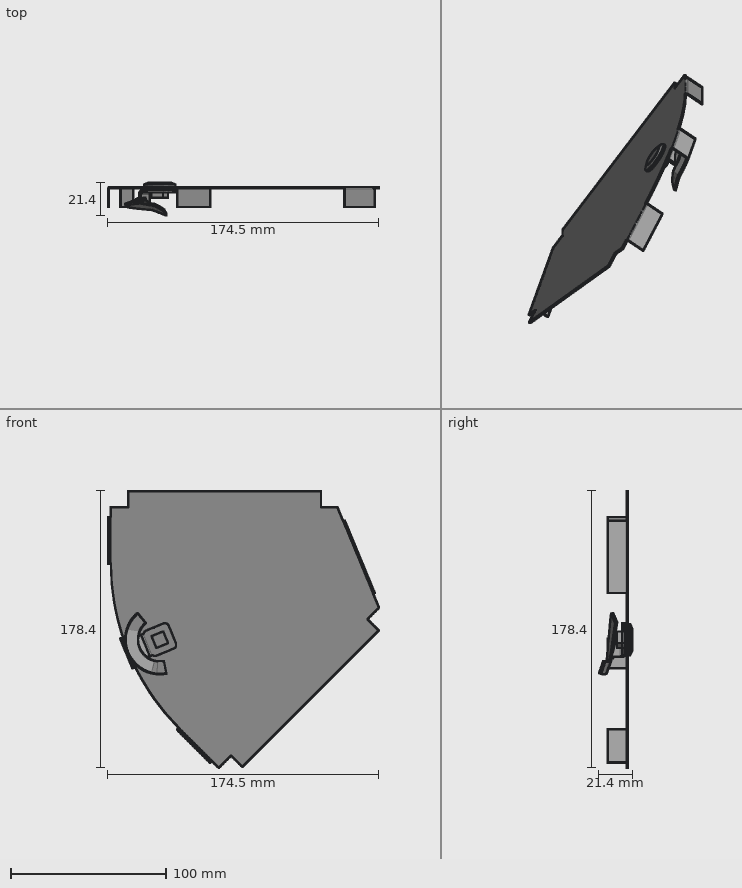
import cadquery as cq
import math

FULL_TURN = 360


SYMMETRY_ANGLE = 22.5
SHEET_THICKNESS = 1.0
EDGE_RADIUS = 151.1
LONG_EDGE_Y = 46.2
STEP_DEPTH = 10.3
LONG_EDGE_START_X = -139.9
LONG_EDGE_END_X = -15.5
SHORT_SIDE_X = -5.0

TAB_THICKNESS = 0.62
TAB_HEIGHT = 13.0
TAB_INNER_BEND = 0.7
TAB_ROOT = 1.8
FLANK_TAB_LENGTH = 30.2
FLANK_TAB_CENTER_Y = 14.5
RIM_TAB_REACH = 1.6
SHORT_SIDE_TAB_LENGTH = 50.3
SHORT_SIDE_TAB_REACH = 1.0
ROUND_EDGE_TAB_LENGTH = 20.7

LATCH_DISTANCE = 129.3
SHAFT_DIAMETER = 16.5
HEAD_DIAMETER = 20.3
HEAD_HEIGHT = 2.9
HEAD_BEVEL_HEIGHT = 1.5
HEAD_BEVEL_WIDTH = 3.2
SQUARE_SIZE = 8.2
SQUARE_TOP = 7.1

LEVER_THICKNESS = 1.5
LEVER_BOTTOM = 2.1
LEVER_HALF_WIDTH = 8.7
LEVER_CORNER_RADIUS = 2.7
LEVER_BEND_START = 8.5
LEVER_INNER_BEND = 1.5
WEB_HALF_WIDTH = 7.5
WEB_TOP_LOW = 7.3
WEB_TOP_HIGH = 9.1
CAM_INNER_RADIUS = 14.0
CAM_OUTER_RADIUS = 22.0
CAM_DISH_RISE = 2.7
CAM_START_ANGLE = 107.5
CAM_START_HEIGHT = 10.9
CAM_JOINT_DROP = 0.7
CAM_STRETCHES = [(126.0, 4.1), (9.0, 1.0), (16.0, 2.5)]
FUSE_TOLERANCE = 0.001


def mirror_point(point):
    """Reflect a point about the symmetry axis of the sheet."""
    x, y = point
    double_angle = math.radians(2 * SYMMETRY_ANGLE)
    c, s = math.cos(double_angle), math.sin(double_angle)
    return (x * c + y * s, x * s - y * c)


def make_tab(length, reach):
    """L-shaped tab on a sheet edge at x = 0, leading outward along +X and then up."""
    outer_bend = TAB_INNER_BEND + TAB_THICKNESS
    bend_x = reach - outer_bend
    diagonal = math.sqrt(0.5)
    return (
        cq.Workplane("XZ", origin=(0, length / 2, 0))
        .moveTo(-TAB_ROOT, 0)
        .lineTo(bend_x, 0)
        .threePointArc(
            (bend_x + outer_bend * diagonal, outer_bend * (1 - diagonal)), (reach, outer_bend)
        )
        .lineTo(reach, TAB_HEIGHT)
        .lineTo(reach - TAB_THICKNESS, TAB_HEIGHT)
        .lineTo(reach - TAB_THICKNESS, outer_bend)
        .threePointArc(
            (bend_x + TAB_INNER_BEND * diagonal, outer_bend - TAB_INNER_BEND * diagonal),
            (bend_x, TAB_THICKNESS),
        )
        .lineTo(-TAB_ROOT, TAB_THICKNESS)
        .close()
        .extrude(length)
    )


def place_tab(tab, outward_angle, edge_center):
    x, y = edge_center
    return tab.rotate((0, 0, 0), (0, 0, 1), outward_angle).translate((x, y, 0))


def on_axis(distance):
    """Point on the symmetry axis at a signed distance from the origin."""
    angle = math.radians(SYMMETRY_ANGLE)
    return (distance * math.cos(angle), distance * math.sin(angle))


def make_sheet():
    step_y = LONG_EDGE_Y - STEP_DEPTH
    half_outline = [
        (-EDGE_RADIUS, 0),
        (-EDGE_RADIUS, step_y),
        (LONG_EDGE_START_X, step_y),
        (LONG_EDGE_START_X, LONG_EDGE_Y),
        (LONG_EDGE_END_X, LONG_EDGE_Y),
        (LONG_EDGE_END_X, step_y),
        (SHORT_SIDE_X, step_y),
    ]
    outline = half_outline + [mirror_point(point) for point in reversed(half_outline)]
    sheet = (
        cq.Workplane("XY")
        .polyline(outline)
        .threePointArc(on_axis(-EDGE_RADIUS), outline[0])
        .close()
        .extrude(SHEET_THICKNESS)
    )

    flank_tab = make_tab(FLANK_TAB_LENGTH, RIM_TAB_REACH)
    flank_center = (-EDGE_RADIUS, FLANK_TAB_CENTER_Y)
    sheet = sheet.union(place_tab(flank_tab, 180, flank_center))
    sheet = sheet.union(place_tab(flank_tab, 180 + 2 * SYMMETRY_ANGLE, mirror_point(flank_center)))

    angle = math.radians(SYMMETRY_ANGLE)
    short_side_distance = SHORT_SIDE_X * math.cos(angle) + step_y * math.sin(angle)
    short_side_tab = make_tab(SHORT_SIDE_TAB_LENGTH, SHORT_SIDE_TAB_REACH)
    sheet = sheet.union(place_tab(short_side_tab, SYMMETRY_ANGLE, on_axis(short_side_distance)))

    round_edge_tab = make_tab(ROUND_EDGE_TAB_LENGTH, RIM_TAB_REACH)
    sheet = sheet.union(place_tab(round_edge_tab, 180 + SYMMETRY_ANGLE, on_axis(-EDGE_RADIUS)))

    shaft_hole = (
        cq.Workplane("XY")
        .center(*on_axis(-LATCH_DISTANCE))
        .circle(SHAFT_DIAMETER / 2)
        .extrude(SHEET_THICKNESS)
    )
    return sheet.cut(shaft_hole)


def make_knob():
    """Bevelled head outside the sheet, round shaft through it and a square end for the lever."""
    head_radius = HEAD_DIAMETER / 2
    shaft_radius = SHAFT_DIAMETER / 2
    turned = (
        cq.Workplane("XZ")
        .moveTo(0, -HEAD_HEIGHT)
        .lineTo(head_radius - HEAD_BEVEL_WIDTH, -HEAD_HEIGHT)
        .lineTo(head_radius, -HEAD_HEIGHT + HEAD_BEVEL_HEIGHT)
        .lineTo(head_radius, 0)
        .lineTo(shaft_radius, 0)
        .lineTo(shaft_radius, LEVER_BOTTOM)
        .lineTo(0, LEVER_BOTTOM)
        .close()
        .revolve(FULL_TURN, (0, 0, 0), (0, 1, 0))
    )
    square = cq.Workplane("XY").rect(SQUARE_SIZE, SQUARE_SIZE).extrude(SQUARE_TOP)
    return turned.union(square)


def make_dish_stretch(inner_radius, start_angle, sweep_angle, start_height, rise):
    """Helical stretch of the dished cam, between inner_radius and the outer rim."""
    slope_angle = math.atan2(CAM_DISH_RISE, CAM_OUTER_RADIUS - CAM_INNER_RADIUS)
    inner_top = start_height - math.tan(slope_angle) * (CAM_OUTER_RADIUS - inner_radius)
    shift_out = LEVER_THICKNESS * math.sin(slope_angle)
    shift_down = LEVER_THICKNESS * math.cos(slope_angle)
    helix = cq.Wire.makeHelix(rise * FULL_TURN / sweep_angle, rise, CAM_OUTER_RADIUS)
    return (
        cq.Workplane("XZ")
        .polyline([
            (inner_radius, inner_top),
            (CAM_OUTER_RADIUS, start_height),
            (CAM_OUTER_RADIUS + shift_out, start_height - shift_down),
            (inner_radius + shift_out, inner_top - shift_down),
        ])
        .close()
        .sweep(cq.Workplane(helix.translate(cq.Vector(0, 0, start_height))), isFrenet=True)
        .rotate((0, 0, 0), (0, 0, 1), start_angle)
    )


def make_lever_base():
    """Flat base with a square hole, bent up into a web on its -X side."""
    outer_bend = LEVER_INNER_BEND + LEVER_THICKNESS
    base_length = LEVER_BEND_START + LEVER_HALF_WIDTH
    base = (
        cq.Workplane("XY", origin=(0, 0, LEVER_BOTTOM))
        .center((LEVER_HALF_WIDTH - LEVER_BEND_START) / 2, 0)
        .rect(base_length, 2 * LEVER_HALF_WIDTH)
        .extrude(LEVER_THICKNESS)
        .edges("|Z")
        .fillet(LEVER_CORNER_RADIUS)
    )

    diagonal = math.sqrt(0.5)
    bend_z = LEVER_BOTTOM + outer_bend
    web_outer_x = -LEVER_BEND_START - outer_bend
    web_inner_x = web_outer_x + LEVER_THICKNESS
    web = (
        cq.Workplane("XZ", origin=(0, WEB_HALF_WIDTH, 0))
        .moveTo(0, LEVER_BOTTOM)
        .lineTo(-LEVER_BEND_START, LEVER_BOTTOM)
        .threePointArc(
            (-LEVER_BEND_START - outer_bend * diagonal, bend_z - outer_bend * diagonal),
            (web_outer_x, bend_z),
        )
        .lineTo(web_outer_x, WEB_TOP_HIGH)
        .lineTo(web_inner_x, WEB_TOP_HIGH)
        .lineTo(web_inner_x, bend_z)
        .threePointArc(
            (-LEVER_BEND_START - LEVER_INNER_BEND * diagonal, bend_z - LEVER_INNER_BEND * diagonal),
            (-LEVER_BEND_START, LEVER_BOTTOM + LEVER_THICKNESS),
        )
        .lineTo(0, LEVER_BOTTOM + LEVER_THICKNESS)
        .close()
        .extrude(2 * WEB_HALF_WIDTH)
    )
    above_slanted_end = (
        cq.Workplane("YZ", origin=(web_outer_x, 0, 0))
        .polyline([
            (WEB_HALF_WIDTH, WEB_TOP_LOW),
            (-WEB_HALF_WIDTH, WEB_TOP_HIGH),
            (WEB_HALF_WIDTH, WEB_TOP_HIGH),
        ])
        .close()
        .extrude(LEVER_THICKNESS)
    )
    square_hole = (
        cq.Workplane("XY").rect(SQUARE_SIZE, SQUARE_SIZE).extrude(LEVER_BOTTOM + LEVER_THICKNESS)
    )
    return base.union(web.cut(above_slanted_end)).cut(square_hole)


def make_cam():
    """Dished helical ramp, a bend and a steeper end lip."""
    angle = CAM_START_ANGLE
    height = CAM_START_HEIGHT
    stretches = []
    for sweep_angle, rise in CAM_STRETCHES:
        stretches.append(make_dish_stretch(CAM_INNER_RADIUS, angle, sweep_angle, height, rise))
        angle += sweep_angle
        height += rise
    ramp, bend, lip = stretches
    return ramp.union(bend, tol=FUSE_TOLERANCE).union(lip, tol=FUSE_TOLERANCE)


def make_joint():
    """Lowered strip of the ramp that runs inward to the web, over the width of the web."""
    web_inner_x = -LEVER_BEND_START - LEVER_INNER_BEND
    joint_radius = CAM_INNER_RADIUS + LEVER_THICKNESS
    sweep_angle, rise = CAM_STRETCHES[0]
    start_height = CAM_START_HEIGHT - CAM_JOINT_DROP
    strip_inner_radius = -web_inner_x - LEVER_THICKNESS / 2
    strip = make_dish_stretch(strip_inner_radius, CAM_START_ANGLE, sweep_angle, start_height, rise)
    top = CAM_START_HEIGHT + rise
    within_radius = cq.Workplane("XY").circle(joint_radius).extrude(top)
    beyond_web = (
        cq.Workplane("XY")
        .center(web_inner_x - joint_radius / 2, 0)
        .rect(joint_radius, 2 * WEB_HALF_WIDTH)
        .extrude(top)
    )
    return strip.intersect(within_radius.intersect(beyond_web))


def make_lever():
    return make_lever_base().union(make_joint()).union(make_cam())


def place_latch_body(body):
    """Turn a latch body onto the symmetry axis and move it to the latch centre."""
    x, y = on_axis(-LATCH_DISTANCE)
    return body.rotate((0, 0, 0), (0, 0, 1), SYMMETRY_ANGLE).translate((x, y, 0))


def stand_up(body):
    """Turn the flat model upright, so that the lever side faces -Y, and select its one solid."""
    return body.rotate((0, 0, 0), (1, 0, 0), 90).solids()


sheet = stand_up(make_sheet())
knob = stand_up(place_latch_body(make_knob()))
lever = stand_up(place_latch_body(make_lever()))

result = cq.Compound.makeCompound([sheet.val(), knob.val(), lever.val()])